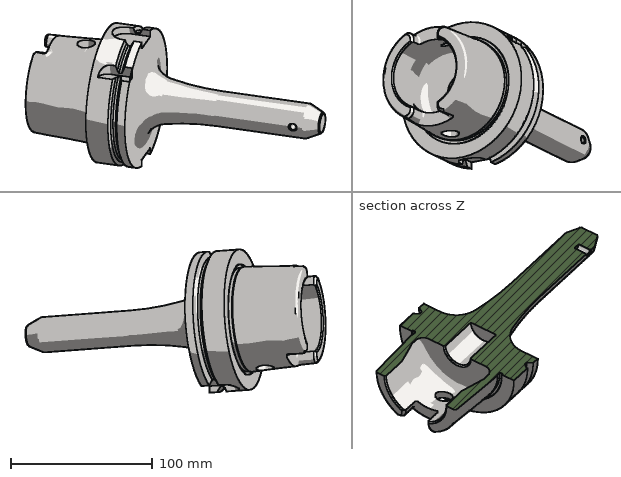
import cadquery as cq
import math

length = 210.0

taper_rim_radius = 35.0
taper_end = 47.5
taper_slope = 0.05
taper_end_radius = taper_rim_radius + taper_slope * taper_end
rim_fillet = 1.9

neck_radius = 37.0
neck_start = 48.3
relief_radius = 39.3
relief_depth = 1.0

flange_radius = 50.0
flange_start = 50.0
flange_end = 79.0
groove_radius = 46.0
groove_step_radius = 47.2
groove_start = 66.4
groove_step_start = 67.6
groove_floor_start = 68.9
groove_floor_end = 70.8
groove_step_end = 71.6
groove_end = 73.0

shank_radius = 12.5
shank_start = 133.5
flare_joint = 95.0
flare_joint_radius = 16.4
tip_shoulder_start = 198.7
tip_start = 199.5
tip_start_radius = 12.4
tip_radius = 7.8
tip_chamfer = 0.8

bore_radius = 26.2
bore_mouth_chamfer = 1.0
bore_straight_depth = 20.0
chamber_radius = 31.5
clamping_angle = math.radians(15)
bore_floor_radius = 24.8
bore_depth = 50.5
thread_radius = 12.0
thread_core_radius = 11.0
thread_depth = 31.5

drive_half_width = 9.9
drive_land_height = 32.0
drive_corner_radius = 5.2
drive_mouth_chamfer = 1.9
drive_floor_fillet = 1.7
upper_drive_depth = 9.7
lower_drive_depth = 14.7

cross_hole_position = 34.6
cross_hole_radius = 6.3

flange_slot_width = 19.7
flange_slot_floor = 44.0
flange_slot_start = 54.4
notch_offset = 31.5
notch_end_radius = 7.5
notch_arc_centre = 62.8
notch_web = 0.2

tip_hole_position = 191.7
tip_hole_radius = 2.3
tip_hole_countersink_radius = 3.2
tip_hole_depth = 10.5


def flare_points():
    """Return the flare's start at the flange face and the mid-points of its short and long arcs."""
    run = shank_start - flare_joint
    rise = flare_joint_radius - shank_radius
    long_radius = (run**2 + rise**2) / (2 * rise)
    long_centre = (shank_start, shank_radius + long_radius)
    joint_angle = math.asin(run / long_radius)
    long_mid = (
        long_centre[0] - long_radius * math.sin(joint_angle / 2),
        long_centre[1] - long_radius * math.cos(joint_angle / 2),
    )
    short_radius = (flare_joint - flange_end) / (1 - math.sin(joint_angle))
    short_centre = (flange_end + short_radius, flare_joint_radius + short_radius * math.cos(joint_angle))
    mid_angle = (joint_angle + math.pi / 2) / 2
    short_mid = (
        short_centre[0] - short_radius * math.sin(mid_angle),
        short_centre[1] - short_radius * math.cos(mid_angle),
    )
    return (flange_end, short_centre[1]), short_mid, long_mid


def turned_body():
    """Revolve the outer outline about X, without the bore."""
    flare_start, short_mid, long_mid = flare_points()
    rim_diagonal = rim_fillet * (1 - math.sqrt(0.5))
    profile = (
        cq.Workplane("XY")
        .moveTo(0, 0)
        .lineTo(0, taper_rim_radius - rim_fillet)
        .threePointArc(
            (rim_diagonal, taper_rim_radius - rim_diagonal),
            (rim_fillet, taper_rim_radius + taper_slope * rim_fillet),
        )
        .lineTo(taper_end, taper_end_radius)
        .lineTo(neck_start, neck_radius)
        .lineTo(flange_start + relief_depth, neck_radius)
        .lineTo(flange_start + relief_depth, relief_radius)
        .lineTo(flange_start, relief_radius)
        .lineTo(flange_start, flange_radius)
        .lineTo(groove_start, flange_radius)
        .lineTo(groove_step_start, groove_step_radius)
        .lineTo(groove_floor_start, groove_radius)
        .lineTo(groove_floor_end, groove_radius)
        .lineTo(groove_step_end, groove_step_radius)
        .lineTo(groove_end, flange_radius)
        .lineTo(flange_end, flange_radius)
        .lineTo(*flare_start)
        .threePointArc(short_mid, (flare_joint, flare_joint_radius))
        .threePointArc(long_mid, (shank_start, shank_radius))
        .lineTo(tip_shoulder_start, shank_radius)
        .lineTo(tip_start, tip_start_radius)
        .lineTo(length - tip_chamfer, tip_radius)
        .lineTo(length, tip_radius - tip_chamfer)
        .lineTo(length, 0)
        .close()
    )
    return profile.revolve(360, (0, 0, 0), (1, 0, 0))


def bore():
    """Bore widening behind a conical clamping shoulder, with the coolant tube hole in its floor."""
    thread_chamfer = thread_radius - thread_core_radius
    chamber_start = bore_straight_depth + (chamber_radius - bore_radius) / math.tan(clamping_angle)
    floor_fillet = chamber_radius - bore_floor_radius
    fillet_diagonal = floor_fillet * (1 - math.sqrt(0.5))
    profile = (
        cq.Workplane("XY")
        .moveTo(0, 0)
        .lineTo(0, bore_radius + bore_mouth_chamfer)
        .lineTo(bore_mouth_chamfer, bore_radius)
        .lineTo(bore_straight_depth, bore_radius)
        .lineTo(chamber_start, chamber_radius)
        .lineTo(bore_depth - floor_fillet, chamber_radius)
        .threePointArc(
            (bore_depth - fillet_diagonal, chamber_radius - fillet_diagonal),
            (bore_depth, bore_floor_radius),
        )
        .lineTo(bore_depth, thread_radius)
        .lineTo(bore_depth + thread_chamfer, thread_core_radius)
        .lineTo(bore_depth + thread_depth, thread_core_radius)
        .lineTo(bore_depth + thread_depth, 0)
        .close()
    )
    return profile.revolve(360, (0, 0, 0), (1, 0, 0))


def drive_slot(depth):
    """Slot across the upper rim whose walls bend outward into flat lands."""
    corner_diagonal = drive_corner_radius * (1 - math.sqrt(0.5))
    wall_top = drive_land_height - drive_corner_radius
    land_start = drive_half_width + drive_corner_radius
    reach = flange_radius

    def outline(position):
        return (
            cq.Workplane("YZ", origin=(position, 0, 0))
            .moveTo(-drive_half_width, 0)
            .lineTo(drive_half_width, 0)
            .lineTo(drive_half_width, wall_top)
            .threePointArc(
                (drive_half_width + corner_diagonal, drive_land_height - corner_diagonal),
                (land_start, drive_land_height),
            )
            .lineTo(reach, drive_land_height)
            .lineTo(reach, reach)
            .lineTo(-reach, reach)
            .lineTo(-reach, drive_land_height)
            .lineTo(-land_start, drive_land_height)
            .threePointArc(
                (-drive_half_width - corner_diagonal, drive_land_height - corner_diagonal),
                (-drive_half_width, wall_top),
            )
            .close()
        )

    slot = outline(0).extrude(depth).faces(">X").edges().fillet(drive_floor_fillet)
    mouth = outline(drive_mouth_chamfer).extrude(-drive_mouth_chamfer, taper=-45)
    return slot.union(mouth)


def flange_slot():
    """Round-ended flat across the top of the flange, open toward the shank."""
    end_radius = flange_slot_width / 2
    arc_centre = flange_slot_start + end_radius
    return (
        cq.Workplane("XY", origin=(0, 0, flange_slot_floor))
        .moveTo(flange_end, -end_radius)
        .lineTo(arc_centre, -end_radius)
        .threePointArc((flange_slot_start, 0), (arc_centre, end_radius))
        .lineTo(flange_end, end_radius)
        .close()
        .extrude(flange_radius)
    )


def corner_notch():
    """Square notch in the flange's -Y +Z corner with a round end toward the taper."""
    outer = -notch_offset - 2 * notch_end_radius
    return (
        cq.Workplane("XY", origin=(0, 0, notch_offset))
        .moveTo(flange_end - notch_web, -notch_offset)
        .lineTo(notch_arc_centre, -notch_offset)
        .threePointArc(
            (notch_arc_centre - notch_end_radius, -notch_offset - notch_end_radius),
            (notch_arc_centre, outer),
        )
        .lineTo(flange_end - notch_web, outer)
        .close()
        .extrude(flange_radius)
    )


def cross_hole():
    """Radial hole through both sides of the hollow taper."""
    return (
        cq.Workplane("XY", origin=(cross_hole_position, 0, -flange_radius))
        .circle(cross_hole_radius)
        .extrude(2 * flange_radius)
    )


def tip_hole():
    """Countersunk blind hole entering the shank from -Y near the tip."""
    countersink = tip_hole_countersink_radius - tip_hole_radius
    profile = (
        cq.Workplane("XY", origin=(tip_hole_position, 0, 0))
        .moveTo(0, -shank_radius)
        .lineTo(tip_hole_countersink_radius, -shank_radius)
        .lineTo(tip_hole_radius, -shank_radius + countersink)
        .lineTo(tip_hole_radius, -shank_radius + tip_hole_depth)
        .lineTo(0, -shank_radius + tip_hole_depth)
        .close()
    )
    return profile.revolve(360, (0, 0, 0), (0, 1, 0))


def turned_over(shape):
    """Return the shape rotated half a turn about the part's axis."""
    return shape.rotate((0, 0, 0), (1, 0, 0), 180)


result = (
    turned_body()
    .cut(bore())
    .cut(drive_slot(upper_drive_depth))
    .cut(turned_over(drive_slot(lower_drive_depth)))
    .cut(cross_hole())
    .cut(flange_slot())
    .cut(turned_over(flange_slot()))
    .cut(corner_notch())
    .cut(tip_hole())
)